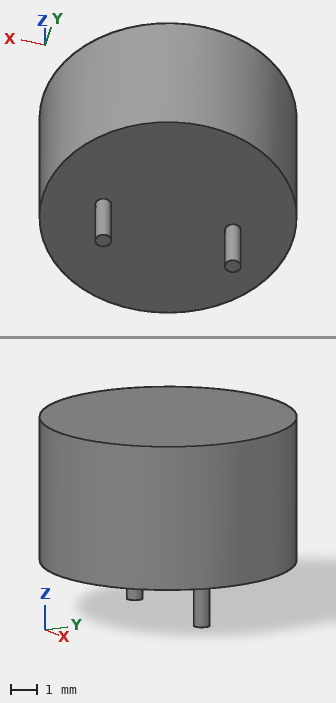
import cadquery as cq

body_diameter = 9.6
total_height = 7.5
pin_length = 2.0
pin_diameter = 0.6
pin_spacing = 5.0

body_height = total_height - pin_length

body = cq.Workplane("XY").circle(body_diameter / 2).extrude(body_height)

pin_positions = [(-pin_spacing / 2, 0), (pin_spacing / 2, 0)]
pins = (
    cq.Workplane("XY")
    .pushPoints(pin_positions)
    .circle(pin_diameter / 2)
    .extrude(-pin_length)
)

result = body.union(pins)